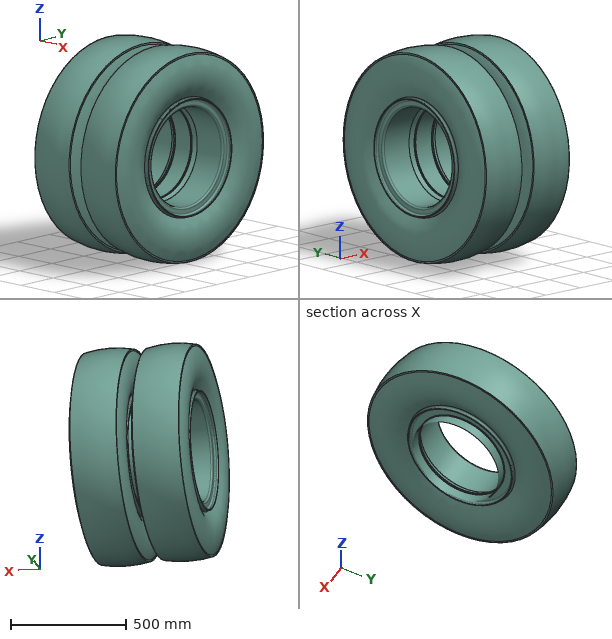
import cadquery as cq
overall_width = 524.0
wheel_pitch = 278.0
crown_radius = 474.0

tyre_width = overall_width - wheel_pitch
tread_half_width = 103.0
tread_edge_radius = 462.0
sidewall_top_radius = 455.0
bulge_radius = 365.0
tyre_bore_radius = 266.0

rim_face_half_width = 90.0
lip_height = 17.0
lip_outer_radius = 261.0
lip_thickness = 4.0
lip_inner_fillet = 9.0
lip_outer_fillet = 3.0
bore_radius = 221.0
bore_fillet = 9.0
seat_radius = 211.0
seat_land = 7.0
seat_taper_length = 21.0

spacer_outer_radius = 215.0
spacer_inner_radius = seat_radius
spacer_chamfer = 3.0
spacer_length = wheel_pitch - 2 * rim_face_half_width


def revolve_about_x(profile):
    """Turn a closed profile, drawn as (x, radius), into a ring around the X axis."""
    return profile.close().revolve(360, (0, 0, 0), (1, 0, 0))


def make_tyre():
    """Tyre centred on X = 0, with a crowned tread and bulging sidewalls."""
    bulge_x = tyre_width / 2
    profile = (
        cq.Workplane("XY")
        .moveTo(-rim_face_half_width, tyre_bore_radius)
        .spline(
            [(-bulge_x, bulge_radius), (-tread_half_width, sidewall_top_radius)],
            tangents=[None, (0, 1), None],
            includeCurrent=True,
        )
        .lineTo(-tread_half_width, tread_edge_radius)
        .threePointArc((0, crown_radius), (tread_half_width, tread_edge_radius))
        .lineTo(tread_half_width, sidewall_top_radius)
        .spline(
            [(bulge_x, bulge_radius), (rim_face_half_width, tyre_bore_radius)],
            tangents=[None, (0, -1), None],
            includeCurrent=True,
        )
    )
    return revolve_about_x(profile)


def make_lip():
    """Lip ring on the +X face of a rim, widened by a fillet on both sides of its root."""
    face_x = rim_face_half_width
    tip_x = face_x + lip_height
    inner_radius = lip_outer_radius - lip_thickness
    profile = (
        cq.Workplane("XY")
        .moveTo(face_x, inner_radius - lip_inner_fillet)
        .radiusArc((face_x + lip_inner_fillet, inner_radius), lip_inner_fillet)
        .lineTo(tip_x, inner_radius)
        .lineTo(tip_x, lip_outer_radius)
        .lineTo(face_x + lip_outer_fillet, lip_outer_radius)
        .radiusArc((face_x, lip_outer_radius + lip_outer_fillet), lip_outer_fillet)
    )
    return revolve_about_x(profile)


def make_rim():
    """Rim centred on X = 0, with its tapered mounting seat on the +X side."""
    face_x = rim_face_half_width
    seat_x = face_x - seat_land
    profile = (
        cq.Workplane("XY")
        .moveTo(-face_x, tyre_bore_radius)
        .lineTo(-face_x, bore_radius + bore_fillet)
        .radiusArc((bore_fillet - face_x, bore_radius), -bore_fillet)
        .lineTo(seat_x - seat_taper_length, bore_radius)
        .lineTo(seat_x, seat_radius)
        .lineTo(face_x, seat_radius)
        .lineTo(face_x, tyre_bore_radius)
    )
    lip = make_lip()
    return revolve_about_x(profile).union(lip).union(lip.mirror("YZ"))


def make_spacer():
    """Band centred on X = 0 that butts against both rims, with its inner edges chamfered."""
    return (
        cq.Workplane("YZ", origin=(-spacer_length / 2, 0, 0))
        .circle(spacer_outer_radius)
        .circle(spacer_inner_radius)
        .extrude(spacer_length)
        .edges(cq.selectors.RadiusNthSelector(0))
        .chamfer(spacer_chamfer)
    )


tyre = make_tyre()
rim = make_rim()
bodies = [make_spacer().val()]
for side, seat_turn in ((-1, 0), (1, 180)):
    wheel_place = (side * wheel_pitch / 2, 0, 0)
    bodies.append(tyre.translate(wheel_place).val())
    bodies.append(rim.rotate((0, 0, 0), (0, 0, 1), seat_turn).translate(wheel_place).val())

result = cq.Compound.makeCompound(bodies)